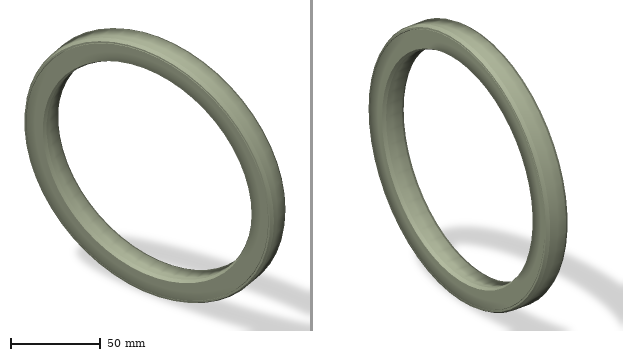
import cadquery as cq
import math

outer_diameter = 170.0
bore_diameter = 140.0
ring_width = 15.0
inner_ring_diameter = 165.0
radial_gap = 0.25
inner_ring_proud = 0.07

chamfer_length = 2.0
chamfer_angle = math.radians(30)
chamfer_depth = chamfer_length * math.tan(chamfer_angle)

outer_radius = outer_diameter / 2
bore_radius = bore_diameter / 2
inner_ring_radius = inner_ring_diameter / 2
outer_ring_inner_radius = inner_ring_radius + radial_gap
front_y = 0.0
back_y = front_y + ring_width


def revolve_about_y(profile_points):
    """Turn a closed (radius, y) profile once around the Y axis."""
    profile = cq.Workplane("XY").polyline(profile_points).close()
    return profile.revolve(360, (0, 0, 0), (0, 1, 0))


def make_outer_ring():
    """Thin ring with a chamfer on both outer rims."""
    face_radius = outer_radius - chamfer_depth
    return revolve_about_y([
        (outer_ring_inner_radius, front_y),
        (face_radius, front_y),
        (outer_radius, front_y + chamfer_length),
        (outer_radius, back_y - chamfer_length),
        (face_radius, back_y),
        (outer_ring_inner_radius, back_y),
    ])


def make_inner_ring():
    """Wide-faced ring with a chamfer at both ends of the bore."""
    face_radius = bore_radius + chamfer_depth
    proud_front_y = front_y - inner_ring_proud
    return revolve_about_y([
        (inner_ring_radius, proud_front_y),
        (inner_ring_radius, back_y),
        (face_radius, back_y),
        (bore_radius, back_y - chamfer_length),
        (bore_radius, proud_front_y + chamfer_length),
        (face_radius, proud_front_y),
    ])


outer_ring = make_outer_ring()
inner_ring = make_inner_ring()

result = cq.Compound.makeCompound([outer_ring.val(), inner_ring.val()])